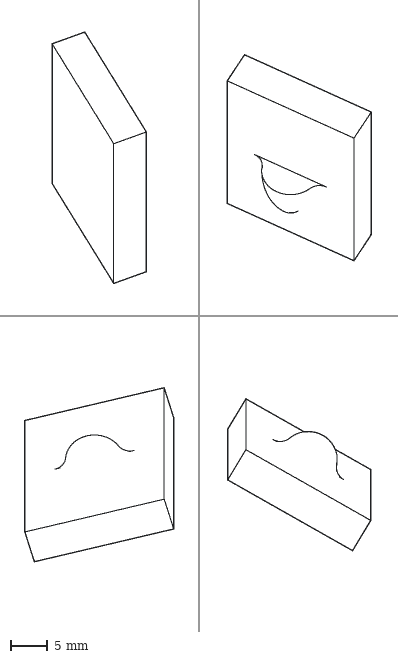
import cadquery as cq
import math

plate_height = 30.0
plate_width = plate_height * 2 / 3
plate_thickness = plate_height / 6

dome_radius = 12 / 3
dome_length = plate_height / 3
blend_radius = dome_radius / 2

ogive_radius = (dome_length**2 + dome_radius**2) / (2 * dome_radius)
ogive_center_x = dome_radius - ogive_radius

tip_radius = 0.45
tip_center_z = -math.sqrt((ogive_radius - tip_radius) ** 2 - ogive_center_x**2)
tangent_angle = math.atan2(tip_center_z, -ogive_center_x)


def arc_point(center_x, center_z, radius, angle):
    """Point on a circle in the XZ plane, at an angle from +X."""
    return (center_x + radius * math.cos(angle), center_z + radius * math.sin(angle))


def make_plate():
    """Plate with its back face on the plane Y = 0."""
    return cq.Workplane("XY").box(
        plate_width, plate_thickness, plate_height, centered=(True, False, True)
    ).translate((0, -plate_thickness, 0))


def make_ogive():
    """Solid of revolution about the Z axis, which lies in the back face."""
    side_middle = arc_point(ogive_center_x, 0, ogive_radius, tangent_angle / 2)
    side_end = arc_point(ogive_center_x, 0, ogive_radius, tangent_angle)
    tip_middle_angle = (tangent_angle - math.pi / 2) / 2
    tip_middle = arc_point(0, tip_center_z, tip_radius, tip_middle_angle)
    tip_end = (0, tip_center_z - tip_radius)
    return (
        cq.Workplane("XZ")
        .lineTo(dome_radius, 0)
        .threePointArc(side_middle, side_end)
        .threePointArc(tip_middle, tip_end)
        .close()
        .revolve(360, (0, 0, 0), (0, 1, 0))
    )


def behind_plate(solid):
    """Keep the part of a solid that lies behind the back face."""
    space = cq.Workplane("XY").box(
        plate_width, plate_width, plate_height, centered=(True, False, True)
    )
    return solid.intersect(space)


body = make_plate().union(behind_plate(make_ogive()))

search_margin = 0.03
root_edges = cq.selectors.BoxSelector(
    (-plate_width / 2, -search_margin, -dome_length),
    (plate_width / 2, search_margin, -search_margin),
)
result = body.edges(root_edges).fillet(blend_radius)